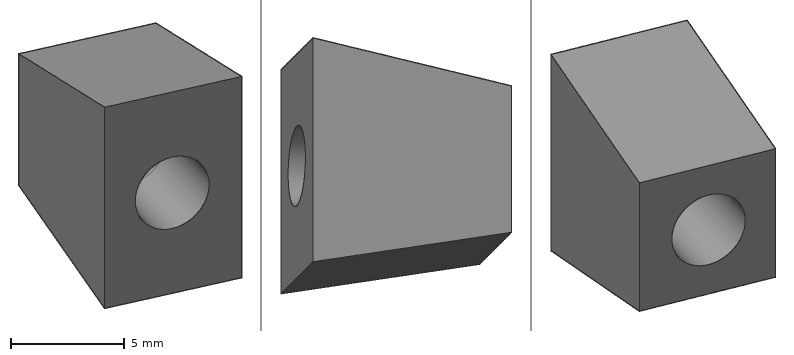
import cadquery as cq

length = 8.98
width = 6.7
large_end_height = 10.15
small_end_height = 6.64

hole_diameter = 3.6
hole_offset_y = -0.05


def tapered_block():
    """Symmetric wedge that grows from the small end (-X) to the large end (+X)."""
    half_length = length / 2
    half_small = small_end_height / 2
    half_large = large_end_height / 2
    outline = [
        (-half_length, -half_small),
        (half_length, -half_large),
        (half_length, half_large),
        (-half_length, half_small),
    ]
    return cq.Workplane("XZ").polyline(outline).close().extrude(width / 2, both=True)


def through_hole():
    """Round cutter running the full length of the block."""
    return (
        cq.Workplane("YZ")
        .center(hole_offset_y, 0)
        .circle(hole_diameter / 2)
        .extrude(length / 2, both=True)
    )


result = tapered_block().cut(through_hole())